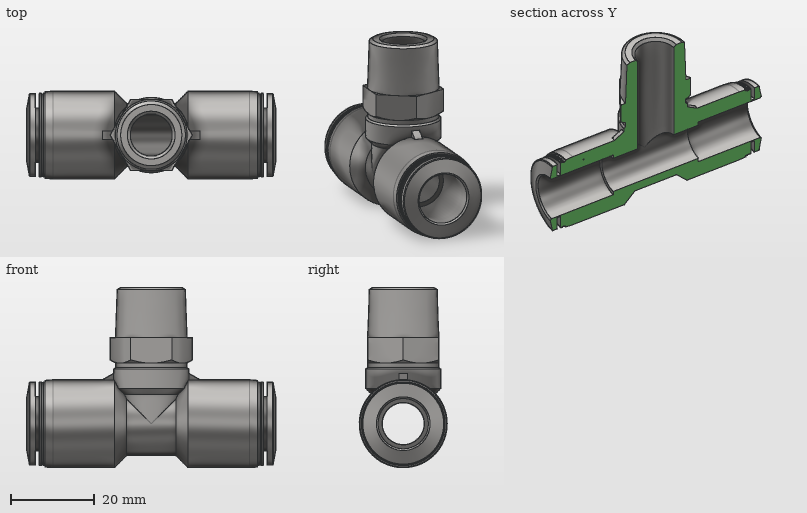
import cadquery as cq
import math

TOTAL_LENGTH = 59.4
HALF_LENGTH = TOTAL_LENGTH / 2
TOTAL_HEIGHT = 43.0

SOCKET_RADIUS = 21.0 / 2
WAIST_RADIUS = 15.1 / 2
SOCKET_START = 8.8
WAIST_END = SOCKET_START - (SOCKET_RADIUS - WAIST_RADIUS)

MOUTH_START = 23.4
MOUTH_END = 25.3
MOUTH_TAPER = 0.15
MOUTH_RADIUS = SOCKET_RADIUS - MOUTH_TAPER
COLLAR_RADIUS = 20.0 / 2
COLLAR_END = 26.75
COLLAR_GROOVE_DEPTH = 0.15
COLLAR_GROOVE_START = 25.75
COLLAR_GROOVE_END = 26.1
COLLAR_BEVEL = 0.15

SLEEVE_NECK_RADIUS = 13.0 / 2
FLANGE_RADIUS = 19.8 / 2
FLANGE_START = 27.65
FLANGE_EDGE = 28.95
FLANGE_BEVEL_DEPTH = 0.25
FLANGE_BEVEL_LENGTH = 0.15

TUBE_RADIUS = 12.0 / 2
TUBE_MOUTH_RADIUS = 12.8 / 2
TUBE_STOP = 12.0
BORE_RADIUS = 10.0 / 2

BRANCH_TOP = TOTAL_HEIGHT - SOCKET_RADIUS
BRANCH_RADIUS = WAIST_RADIUS
BOSS_RADIUS = 18.0 / 2
BOSS_BOTTOM = 8.45
BOSS_TOP = 13.4
BOSS_BEVEL_HEIGHT = 0.4
STUD_RADIUS = 17.0 / 2

HEX_ACROSS_FLATS = 17.0
HEX_ACROSS_CORNERS = HEX_ACROSS_FLATS / math.cos(math.radians(30))
HEX_BOTTOM = 14.45
HEX_TOP = 20.55
HEX_CHAMFER_ANGLE = 30.0

THREAD_BASE_RADIUS = 8.55
THREAD_TIP_RADIUS = 8.15
THREAD_CHAMFER_RADIUS = 7.3
THREAD_CHAMFER_HEIGHT = 0.5
BORE_CHAMFER = 0.7

RIB_WIDTH = 2.0
RIB_END = 11.6
RIB_ANGLE = 30.0


def revolve_about_x(profile):
    """Solid of revolution about X from (x, radius) points."""
    return cq.Workplane("XY").polyline(profile).close().revolve(360, (0, 0, 0), (1, 0, 0))


def revolve_about_z(profile):
    """Solid of revolution about Z from (radius, z) points."""
    return cq.Workplane("XZ").polyline(profile).close().revolve(360, (0, 0, 0), (0, 1, 0))


def run_half():
    """Outside of the run on the +X side."""
    groove_radius = COLLAR_RADIUS - COLLAR_GROOVE_DEPTH
    return revolve_about_x([
        (0, 0),
        (0, WAIST_RADIUS),
        (WAIST_END, WAIST_RADIUS),
        (SOCKET_START, SOCKET_RADIUS),
        (MOUTH_START, SOCKET_RADIUS),
        (MOUTH_END, MOUTH_RADIUS),
        (MOUTH_END, COLLAR_RADIUS),
        (COLLAR_GROOVE_START, COLLAR_RADIUS),
        (COLLAR_GROOVE_START, groove_radius),
        (COLLAR_GROOVE_END, groove_radius),
        (COLLAR_GROOVE_END + COLLAR_GROOVE_DEPTH, COLLAR_RADIUS),
        (COLLAR_END - COLLAR_BEVEL, COLLAR_RADIUS),
        (COLLAR_END, COLLAR_RADIUS - COLLAR_BEVEL),
        (COLLAR_END, SLEEVE_NECK_RADIUS),
        (FLANGE_START, SLEEVE_NECK_RADIUS),
        (FLANGE_START, FLANGE_RADIUS),
        (FLANGE_EDGE, FLANGE_RADIUS),
        (FLANGE_EDGE + FLANGE_BEVEL_LENGTH, FLANGE_RADIUS - FLANGE_BEVEL_DEPTH),
        (HALF_LENGTH, TUBE_MOUTH_RADIUS),
        (HALF_LENGTH, 0),
    ])


def run_bore_half():
    """Tube socket and flow passage on the +X side."""
    mouth_chamfer = TUBE_MOUTH_RADIUS - TUBE_RADIUS
    return revolve_about_x([
        (0, 0),
        (0, BORE_RADIUS),
        (TUBE_STOP, BORE_RADIUS),
        (TUBE_STOP, TUBE_RADIUS),
        (HALF_LENGTH - mouth_chamfer, TUBE_RADIUS),
        (HALF_LENGTH, TUBE_MOUTH_RADIUS),
        (HALF_LENGTH, 0),
    ])


def both_sides(half):
    """Join a +X half to its mirror image."""
    return half.union(half.mirror("YZ"))


def branch():
    """Round parts of the branch: root, boss, stud and tapered thread."""
    root_top = BOSS_BOTTOM - (BOSS_RADIUS - BRANCH_RADIUS)
    return revolve_about_z([
        (0, 0),
        (BRANCH_RADIUS, 0),
        (BRANCH_RADIUS, root_top),
        (BOSS_RADIUS, BOSS_BOTTOM),
        (BOSS_RADIUS, BOSS_TOP - BOSS_BEVEL_HEIGHT),
        (STUD_RADIUS, BOSS_TOP),
        (STUD_RADIUS, HEX_TOP),
        (THREAD_BASE_RADIUS, HEX_TOP),
        (THREAD_TIP_RADIUS, BRANCH_TOP - THREAD_CHAMFER_HEIGHT),
        (THREAD_CHAMFER_RADIUS, BRANCH_TOP),
        (0, BRANCH_TOP),
    ])


def hexagon():
    """Wrench hexagon with corners along X, its lower corners chamfered."""
    prism = (
        cq.Workplane("XY")
        .workplane(offset=HEX_BOTTOM)
        .polygon(6, HEX_ACROSS_CORNERS)
        .extrude(HEX_TOP - HEX_BOTTOM)
    )
    envelope_radius = HEX_ACROSS_CORNERS
    flat_radius = HEX_ACROSS_FLATS / 2
    rise = (envelope_radius - flat_radius) * math.tan(math.radians(HEX_CHAMFER_ANGLE))
    envelope = revolve_about_z([
        (0, HEX_BOTTOM),
        (flat_radius, HEX_BOTTOM),
        (envelope_radius, HEX_BOTTOM + rise),
        (envelope_radius, HEX_TOP),
        (0, HEX_TOP),
    ])
    return prism.intersect(envelope)


def ribs():
    """One roof-shaped plate that shows as a sloping rib on each side of the boss."""
    slope = math.tan(math.radians(RIB_ANGLE))
    boss_height = SOCKET_RADIUS + (RIB_END - BOSS_RADIUS) * slope
    return (
        cq.Workplane("XZ")
        .polyline([
            (-RIB_END, BOSS_BOTTOM),
            (-RIB_END, SOCKET_RADIUS),
            (-BOSS_RADIUS, boss_height),
            (BOSS_RADIUS, boss_height),
            (RIB_END, SOCKET_RADIUS),
            (RIB_END, BOSS_BOTTOM),
        ])
        .close()
        .extrude(RIB_WIDTH / 2, both=True)
    )


def branch_bore():
    """Flow passage down the branch, chamfered at the thread end."""
    return revolve_about_z([
        (0, 0),
        (BORE_RADIUS, 0),
        (BORE_RADIUS, BRANCH_TOP - BORE_CHAMFER),
        (BORE_RADIUS + BORE_CHAMFER, BRANCH_TOP),
        (0, BRANCH_TOP),
    ])


body = both_sides(run_half()).union(branch()).union(hexagon()).union(ribs())
result = body.cut(both_sides(run_bore_half())).cut(branch_bore())